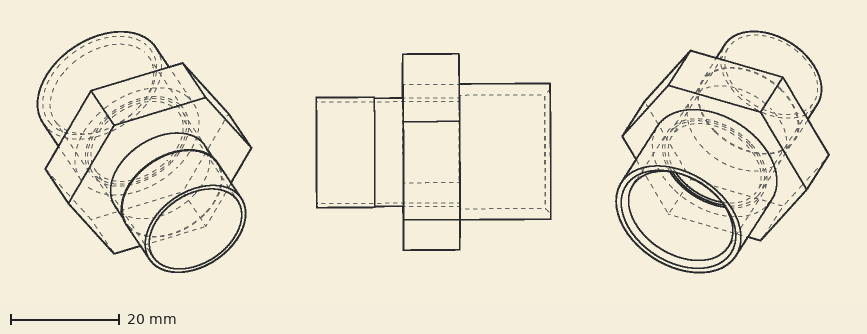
import cadquery as cq

total_length = 43.0
hex_start = 16.73
hex_end = 27.1
pipe_step = 32.35

hex_across_flats = 32.0
hex_turn = 90
socket_outer_radius = 12.5
socket_bore_radius = 10.45
socket_mouth_radius = 11.5
mouth_chamfer_length = 1.05
socket_depth = hex_start

pipe_radius = 9.98
pipe_end_radius = 10.15
pipe_bore_radius = 9.35


def cylinder_x(radius, start, end):
    """Cylinder on the X axis between two positions."""
    return cq.Workplane("YZ", origin=(start, 0, 0)).circle(radius).extrude(end - start)


def make_mouth_chamfer():
    """Conical cutter that widens the socket mouth."""
    return (
        cq.Workplane("XY")
        .polyline([
            (0, 0),
            (0, socket_mouth_radius),
            (mouth_chamfer_length, socket_bore_radius),
            (mouth_chamfer_length, 0),
        ])
        .close()
        .revolve(360, (0, 0, 0), (1, 0, 0))
    )


def make_housing():
    """Hexagon and socket, with a smaller through hole for the pipe."""
    hexagon = (
        cq.Workplane("YZ", origin=(hex_start, 0, 0))
        .polygon(6, hex_across_flats, circumscribed=True)
        .extrude(hex_end - hex_start)
        .rotate((0, 0, 0), (1, 0, 0), hex_turn)
    )
    return (
        hexagon
        .union(cylinder_x(socket_outer_radius, 0, hex_start))
        .cut(cylinder_x(socket_bore_radius, 0, socket_depth))
        .cut(cylinder_x(pipe_radius, socket_depth, hex_end))
        .cut(make_mouth_chamfer())
    )


def make_pipe():
    """Pipe from the socket floor to the +X end."""
    return (
        cylinder_x(pipe_radius, socket_depth, pipe_step)
        .union(cylinder_x(pipe_end_radius, pipe_step, total_length))
        .cut(cylinder_x(pipe_bore_radius, socket_depth, total_length))
    )


housing = make_housing()
pipe = make_pipe()
result = cq.Compound.makeCompound([housing.val(), pipe.val()])